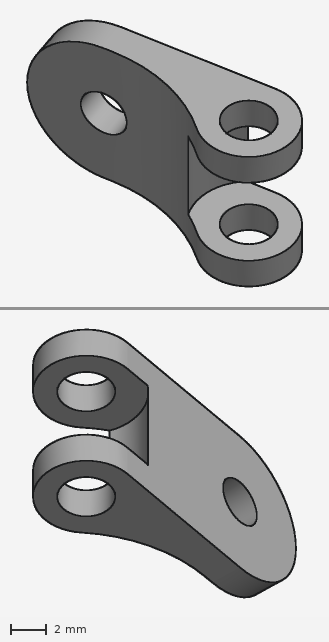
import cadquery as cq
import math

length = 18.0
depth = 6.0
height = 10.0

plate_thickness = 2.0
end_radius = height / 2
plate_hole_diameter = 3.0

lug_radius = depth / 2
lug_hole_diameter = 3.25
lug_thickness = 2.0
lug_gap = height - 2 * lug_thickness
lug_x = length - lug_radius
lug_y = -lug_radius

blend_radius = 10.0
relief_radius = 3.5

blend_y = -plate_thickness - blend_radius
center_distance = blend_radius + lug_radius
blend_x = lug_x - math.sqrt(center_distance**2 - (lug_y - blend_y) ** 2)
lug_angle = math.atan2(lug_y - blend_y, lug_x - blend_x)


def polar(center_x, center_y, radius, angle):
    """Point on a circle at the given angle in radians."""
    return center_x + radius * math.cos(angle), center_y + radius * math.sin(angle)


def make_body():
    """Side profile in XY, extruded symmetrically about Z = 0."""
    blend_middle = polar(blend_x, blend_y, blend_radius, (lug_angle + math.pi / 2) / 2)
    blend_end = polar(blend_x, blend_y, blend_radius, lug_angle)
    return (
        cq.Workplane("XY")
        .moveTo(0, 0)
        .lineTo(0, -plate_thickness)
        .lineTo(blend_x, -plate_thickness)
        .threePointArc(blend_middle, blend_end)
        .threePointArc((length, lug_y), (lug_x, 0))
        .close()
        .extrude(height / 2, both=True)
    )


def make_rounded_envelope():
    """Block with a round left end, seen along Y."""
    return (
        cq.Workplane("XZ")
        .moveTo(end_radius, height / 2)
        .threePointArc((0, 0), (end_radius, -height / 2))
        .lineTo(length, -height / 2)
        .lineTo(length, height / 2)
        .close()
        .extrude(depth)
    )


def lug_cylinder(radius, cylinder_height):
    """Cylinder on the hinge axis, centered on Z = 0."""
    return (
        cq.Workplane("XY")
        .center(lug_x, lug_y)
        .circle(radius)
        .extrude(cylinder_height / 2, both=True)
    )


plate_hole = (
    cq.Workplane("XZ")
    .center(end_radius, 0)
    .circle(plate_hole_diameter / 2)
    .extrude(depth)
)

result = (
    make_body()
    .intersect(make_rounded_envelope())
    .cut(plate_hole)
    .cut(lug_cylinder(lug_hole_diameter / 2, height))
    .cut(lug_cylinder(relief_radius, lug_gap))
)